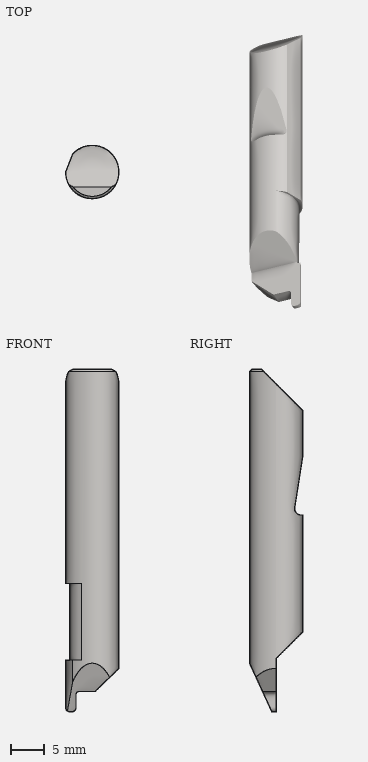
import cadquery as cq
import math

length = 50.8
radius = 3.95
top_chamfer = 0.35
slant_start_y = -2.2

flat_edge_y = 2.7
flat_edge_x = -math.sqrt(radius**2 - flat_edge_y**2)

notch_floor_y = 2.6
notch_bottom_z = 29.2
notch_top_z = 38.0
notch_fillet = 0.9

neck_bottom_z = 7.65
neck_top_z = 19.0
neck_left_x = -3.35
neck_edge_x = -1.6
neck_edge_y = math.sqrt(radius**2 - neck_edge_x**2)

finger_width = 1.6
finger_right_x = finger_width - radius
tip_radius = 0.65
shoulder_z = 3.0
shoulder_end_x = 0.4
rake_runout_z = 7.9
shoulder_fillet = 0.4
bevel_top_z = 6.45
relief_top_z = 7.2
relief_tip_y = -0.65

margin = 2.55
reach = radius + margin


def along_x(outline):
    """Extrude a closed (y, z) outline through the whole part along X."""
    return cq.Workplane("YZ").polyline(outline).close().extrude(reach, both=True)


def make_shank():
    return cq.Workplane("XY").circle(radius).extrude(length).faces(">Z").chamfer(top_chamfer)


def top_slant():
    slant_run = reach - slant_start_y
    return along_x([
        (slant_start_y, length),
        (reach, length - slant_run),
        (reach, length + margin),
        (slant_start_y, length + margin),
    ])


def side_flat(side, bottom_z, top_z):
    """Remove the sliver outside a chord; side is +1 for +Y or -1 for -Y."""
    return (
        cq.Workplane("XY", origin=(0, 0, bottom_z))
        .moveTo(-radius, 0)
        .lineTo(flat_edge_x, side * flat_edge_y)
        .lineTo(-reach, side * flat_edge_y)
        .lineTo(-reach, 0)
        .close()
        .extrude(top_z - bottom_z)
    )


def clamping_notch():
    ramp_rate = (radius - notch_floor_y) / (notch_top_z - notch_bottom_z)
    notch = along_x([
        (notch_floor_y, notch_bottom_z),
        (reach, notch_bottom_z),
        (reach, notch_bottom_z + (reach - notch_floor_y) / ramp_rate),
    ])
    return notch.edges("|X").edges("<Y").fillet(notch_fillet)


def neck_cut():
    return (
        cq.Workplane("XY", origin=(0, 0, neck_bottom_z))
        .moveTo(neck_edge_x, -neck_edge_y)
        .threePointArc((neck_left_x, 0), (neck_edge_x, neck_edge_y))
        .lineTo(neck_edge_x, reach)
        .lineTo(-reach, reach)
        .lineTo(-reach, -reach)
        .lineTo(neck_edge_x, -reach)
        .close()
        .extrude(neck_top_z - neck_bottom_z)
    )


def rake_cut():
    """Open the rake face at y = 0, running out at 45 degrees toward +Y."""
    return along_x([
        (0, -margin),
        (0, rake_runout_z),
        (reach, rake_runout_z + reach),
        (reach, -margin),
    ])


def front_relief():
    relief_rate = relief_top_z / (relief_tip_y + radius)
    return along_x([
        (relief_tip_y, 0),
        (-reach, relief_rate * (relief_tip_y + reach)),
        (-reach, 0),
    ])


def head_envelope():
    """Finger, shoulder and bevel, extended upward over the full shank."""
    envelope = (
        cq.Workplane("XZ")
        .moveTo(-radius, length)
        .lineTo(-radius, 0)
        .lineTo(finger_right_x, 0)
        .lineTo(finger_right_x, shoulder_z)
        .lineTo(shoulder_end_x, shoulder_z)
        .lineTo(radius, bevel_top_z)
        .lineTo(radius, length)
        .close()
        .extrude(reach, both=True)
    )
    envelope = envelope.faces("<Z").edges("|Y").fillet(tip_radius)
    inner_corner = cq.selectors.NearestToPointSelector((finger_right_x, 0, shoulder_z))
    return envelope.edges("|Y").edges(inner_corner).fillet(shoulder_fillet)


result = (
    make_shank()
    .cut(top_slant())
    .cut(side_flat(1, neck_top_z, length))
    .cut(clamping_notch())
    .cut(neck_cut())
    .cut(rake_cut())
    .cut(side_flat(-1, 0, neck_bottom_z))
    .cut(front_relief())
    .intersect(head_envelope())
)